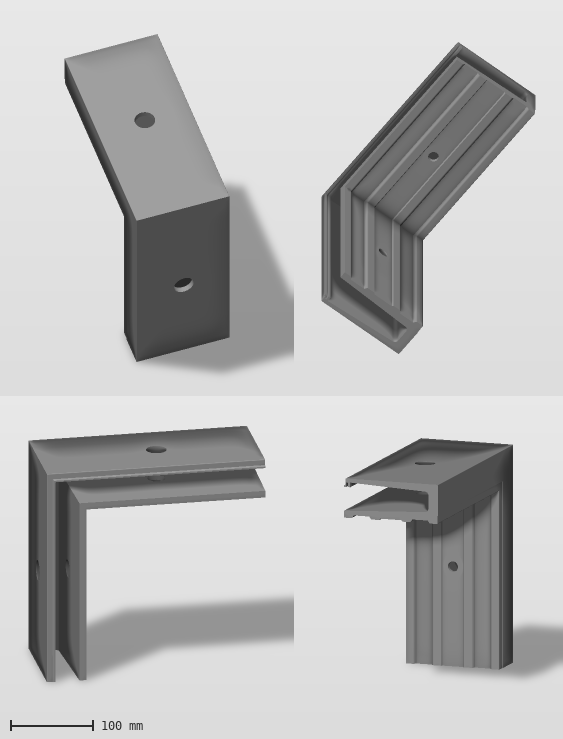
import cadquery as cq
import math


leg_length = 269.0
width = 120.5
leg_depth = 48.5
edge_round = 0.8

web = 12.0
relief_start = 38.5
relief = 0.5
corner_round = 4.3

mouth_top = 4.3
mouth_bottom = 39.8
closed_top = 9.7
closed_bottom = 34.5

lip_edge = 119.0
lip_depth = 10.5
barb_start = 7.0
barb_end = 8.5
barb_inner = 118.0
tooth_outer = 115.5
tooth_inner = 112.7
notch_depth = 5.0

groove_centre = 60.5
groove_spacing = 37.7
deep_groove = 3.5
deep_floor = 20.0
deep_wall_angle = 55.0
deep_edge_round = 2.5
shallow_groove = 1.75
shallow_floor = 27.0
shallow_mouth = 29.3

hole_position = 123.0
access_diameter = 25.0
screw_diameter = 13.0
sink_diameter = 22.0


def outline(points):
    """Closed outline on the free end face of the horizontal leg."""
    return cq.Workplane("YZ").polyline([(y, leg_length - depth) for y, depth in points]).close()


def channel_top(y):
    """Depth of the sloping inside face of the outer plate."""
    return closed_top + (mouth_top - closed_top) * (y - web) / (width - web)


def channel_bottom(y):
    """Depth of the sloping inside face of the inner plate."""
    return closed_bottom + (mouth_bottom - closed_bottom) * (y - web) / (width - web)


def channel_bar():
    """Plain channel with the snap lip, before the grooves and the mitre."""
    bar = outline([
        (0, 0),
        (lip_edge, 0),
        (lip_edge, barb_start),
        (width, barb_end),
        (width, leg_depth),
        (relief, leg_depth),
        (relief, relief_start),
        (0, relief_start),
    ]).extrude(leg_length)
    for y, depth in ((0, 0), (lip_edge, 0), (relief, leg_depth)):
        corner = cq.selectors.NearestToPointSelector((leg_length / 2, y, leg_length - depth))
        bar = bar.edges(corner).fillet(edge_round)

    channel = outline([
        (web, closed_top),
        (tooth_inner, channel_top(tooth_inner)),
        (tooth_inner, lip_depth),
        (tooth_outer, lip_depth),
        (tooth_outer, notch_depth),
        (barb_inner, notch_depth),
        (barb_inner, lip_depth),
        (width, lip_depth),
        (width, mouth_bottom),
        (web, closed_bottom),
    ]).extrude(leg_length)
    closed_end = cq.selectors.BoxSelector(
        (0, web - corner_round, 0),
        (leg_length, web + corner_round, leg_length),
    )
    channel = channel.edges("|X").edges(closed_end).fillet(corner_round)
    return bar.cut(channel)


def groove(centre, floor, mouth, depth):
    """Lengthwise groove in the inner face, with sloping walls."""
    return outline([
        (centre - mouth / 2, leg_depth),
        (centre - floor / 2, leg_depth - depth),
        (centre + floor / 2, leg_depth - depth),
        (centre + mouth / 2, leg_depth),
    ]).extrude(leg_length)


def cut_grooves(bar):
    """Two deep grooves with rounded edges and a shallow one between them."""
    deep_mouth = deep_floor + 2 * deep_groove / math.tan(math.radians(deep_wall_angle))
    for side in (-1, 1):
        centre = groove_centre + side * groove_spacing
        bar = bar.cut(groove(centre, deep_floor, deep_mouth, deep_groove))
        for edge_y in (centre - deep_mouth / 2, centre + deep_mouth / 2):
            rim = cq.selectors.NearestToPointSelector((leg_length / 2, edge_y, leg_length - leg_depth))
            bar = bar.edges(rim).fillet(deep_edge_round)
    return bar.cut(groove(groove_centre, shallow_floor, shallow_mouth, shallow_groove))


def screw_cutter():
    """Access hole through the outer plate and a countersunk hole through the inner one."""
    mid_channel = (closed_top + closed_bottom) / 2
    sink_start = channel_bottom(groove_centre)
    sink_depth = (sink_diameter - screw_diameter) / 2
    half_section = [
        (0, 0),
        (access_diameter / 2, 0),
        (access_diameter / 2, mid_channel),
        (sink_diameter / 2, mid_channel),
        (sink_diameter / 2, sink_start),
        (screw_diameter / 2, sink_start + sink_depth),
        (screw_diameter / 2, leg_depth),
        (0, leg_depth),
    ]
    return (
        cq.Workplane("XZ")
        .polyline([(radius, -depth) for radius, depth in half_section])
        .close()
        .revolve(360, (0, 0), (0, 1))
        .translate((hole_position, groove_centre, leg_length))
    )


def horizontal_leg():
    """Finished leg along X, cut at 45 degrees where it meets the other leg."""
    bar = cut_grooves(channel_bar()).cut(screw_cutter())
    mitre = (
        cq.Workplane("XZ")
        .polyline([(0, 0), (leg_length, leg_length), (0, leg_length)])
        .close()
        .extrude(-width)
    )
    return bar.intersect(mitre)


leg = horizontal_leg()
result = leg.union(leg.mirror((1, 0, -1)))